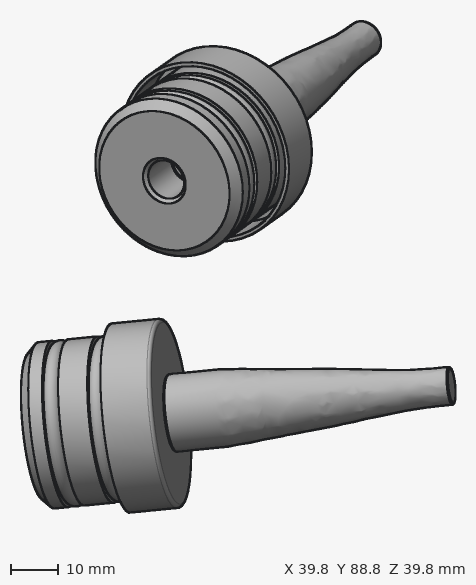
import cadquery as cq

total_length = 88.8

plug_radius = 17.5
plug_chamfer = 2.0
groove_width = 3.5
groove_starts = [5.0, 14.65]
groove_floor_radius = plug_radius - groove_width

bore_radius = 4.3
bore_countersink = 0.8
stud_start = 10.0
stud_chamfer = 1.0
stud_depth_in_handle = 10.0

cap_radius = 19.9
cap_wall = 0.9
cap_rim = 18.0
cap_top = 28.8
cap_edge_fillet = 0.8
cap_ceiling = cap_top - cap_wall

handle_max_radius = 8.2
handle_tip_radius = 4.0
handle_base_chamfer = 0.35
handle_tip_chamfer = 0.3
handle_curve = [(8.2, 40.0), (7.1, 51.5), (5.95, 63.9), (4.6, 75.5)]


def revolve(profile):
    """Turn a closed (radius, Y) profile a full circle about the Y axis."""
    return profile.close().revolve(360, (0, 0, 0), (0, 1, 0))


def cylinder(radius, start, end):
    """Solid cylinder on the Y axis between two Y positions."""
    return revolve(cq.Workplane("XY").polyline([(0, start), (radius, start), (radius, end), (0, end)]))


def make_plug():
    plug = cylinder(plug_radius, 0, cap_ceiling).faces("<Y").chamfer(plug_chamfer)
    for start in groove_starts:
        end = start + groove_width
        groove = cylinder(plug_radius, start, end).cut(cylinder(groove_floor_radius, start, end))
        plug = plug.cut(groove)
    bore = cylinder(bore_radius, 0, cap_ceiling)
    mouth_radius = bore_radius + bore_countersink
    cone_points = [(0, 0), (mouth_radius, 0), (bore_radius, bore_countersink), (0, bore_countersink)]
    countersink = revolve(cq.Workplane("XY").polyline(cone_points))
    return plug.cut(bore).cut(countersink)


def make_o_ring(groove_start):
    section_radius = groove_width / 2
    center = (plug_radius - section_radius, groove_start + section_radius)
    section = cq.Workplane("XY").center(*center).circle(section_radius)
    return section.revolve(360, (-center[0], 0, 0), (-center[0], 1, 0))


def make_cap():
    cap = cylinder(cap_radius, cap_rim, cap_top).faces(">Y").edges().fillet(cap_edge_fillet)
    cavity = cylinder(cap_radius - cap_wall, cap_rim, cap_ceiling)
    stud_hole = cylinder(bore_radius, cap_ceiling, cap_top)
    return cap.cut(cavity).cut(stud_hole)


def make_stud():
    stud = cylinder(bore_radius, stud_start, cap_top + stud_depth_in_handle)
    return stud.faces("<Y").chamfer(stud_chamfer)


def make_handle():
    tip_curve_end = (handle_tip_radius, total_length - handle_tip_chamfer)
    profile = (
        cq.Workplane("XY")
        .moveTo(0, cap_top)
        .lineTo(handle_max_radius - handle_base_chamfer, cap_top)
        .lineTo(handle_max_radius, cap_top + handle_base_chamfer)
        .spline(handle_curve + [tip_curve_end], tangents=[(0, 1), (0, 1)], includeCurrent=True)
        .lineTo(handle_tip_radius - handle_tip_chamfer, total_length)
        .lineTo(0, total_length)
    )
    stud_hole = cylinder(bore_radius, cap_top, cap_top + stud_depth_in_handle)
    return revolve(profile).cut(stud_hole)


plug = make_plug()
o_rings = [make_o_ring(start) for start in groove_starts]
cap = make_cap()
stud = make_stud()
handle = make_handle()

result = cq.Compound.makeCompound(
    [plug.val(), *[ring.val() for ring in o_rings], cap.val(), stud.val(), handle.val()]
)